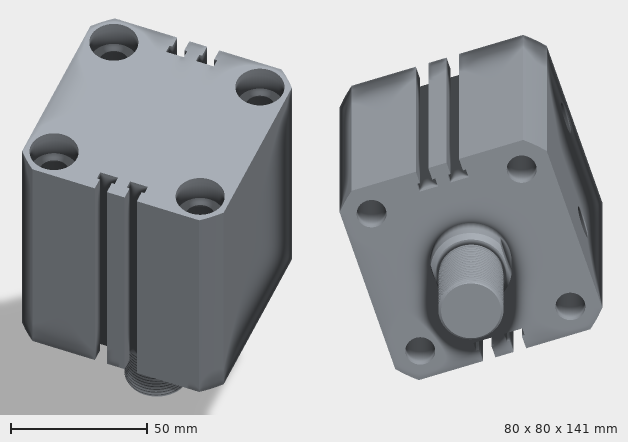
import cadquery as cq
WIDTH = 80.0
TOTAL_LENGTH = 141.0
ROD_OVERHANG = 46.0
HOUSING_BOTTOM = ROD_OVERHANG
HOUSING_HEIGHT = TOTAL_LENGTH - HOUSING_BOTTOM
CORNER_RADIUS = 51.9

BOLT_SPACING = 58.0
BOLT_HOLE_DIAMETER = 11.0
COUNTERBORE_DIAMETER = 18.0
COUNTERBORE_DEPTH = 11.0

SLOT_SPACING = 11.8
SLOT_MOUTH_WIDTH = 4.8
SLOT_FOOT_WIDTH = 7.0
SLOT_LIP = 4.8
SLOT_DEPTH = 8.0

PORT_MOUTH_DIAMETER = 11.8
PORT_FLOOR_DIAMETER = 11.0
PORT_DEPTH = 8.0
PASSAGE_DIAMETER = 4.1
PORT_OFFSET = 10.0
UPPER_PORT_DROP = 16.0
UPPER_PORT_HEIGHT = TOTAL_LENGTH - UPPER_PORT_DROP
LOWER_PORT_RISE = 28.0
LOWER_PORT_HEIGHT = HOUSING_BOTTOM + LOWER_PORT_RISE
UPPER_PASSAGE_DEPTH = 5.6

ROD_DIAMETER = 29.9
ROD_PAST_PORT = 14.1
ROD_TOP = LOWER_PORT_HEIGHT + ROD_PAST_PORT
COLLAR_LENGTH = 11.0
COLLAR_CHAMFER = 1.8
ACROSS_FLATS = 27.0
FLAT_SLOPE_GAP = 1.5

THREAD_DIAMETER = 24.0
THREAD_TURNS = 22
THREAD_DEPTH = 0.7
CREST_FRACTION = 0.3
ROOT_FRACTION = 0.1
GROOVE_OVERCUT = 0.1
NECK_LENGTH = 2.0
NECK_DIAMETER = 22.4
TIP_CHAMFER = 1.0
COLLAR_BOTTOM = HOUSING_BOTTOM - COLLAR_LENGTH
THREAD_TOP = COLLAR_BOTTOM - NECK_LENGTH
PITCH = THREAD_TOP / THREAD_TURNS


def make_blank():
    """Square block with its corners trimmed to a cylinder."""
    block = cq.Workplane("XY").rect(WIDTH, WIDTH).extrude(HOUSING_HEIGHT)
    round_bar = cq.Workplane("XY").circle(CORNER_RADIUS).extrude(HOUSING_HEIGHT)
    return block.intersect(round_bar).translate((0, 0, HOUSING_BOTTOM))


def make_slots():
    """Cutters for the T-slots, which run the whole height of both Y faces."""
    slots = cq.Workplane("XY").workplane(offset=HOUSING_BOTTOM)
    foot_height = SLOT_DEPTH - SLOT_LIP
    for side in (-1, 1):
        mouth_y = side * (WIDTH - SLOT_DEPTH) / 2
        foot_y = side * (WIDTH / 2 - SLOT_LIP - foot_height / 2)
        for x in (-SLOT_SPACING / 2, SLOT_SPACING / 2):
            slots = slots.moveTo(x, mouth_y).rect(SLOT_MOUTH_WIDTH, SLOT_DEPTH).extrude(HOUSING_HEIGHT)
            slots = slots.moveTo(x, foot_y).rect(SLOT_FOOT_WIDTH, foot_height).extrude(HOUSING_HEIGHT)
    return slots


def make_port(y, z, passage_end):
    """Cutter for one tapered port and the narrow passage that leads on from it."""
    face_x = -WIDTH / 2
    inward = cq.Vector(1, 0, 0)
    taper = cq.Solid.makeCone(
        PORT_MOUTH_DIAMETER / 2, PORT_FLOOR_DIAMETER / 2, PORT_DEPTH, cq.Vector(face_x, y, z), inward
    )
    passage = cq.Solid.makeCylinder(
        PASSAGE_DIAMETER / 2, passage_end - face_x, cq.Vector(face_x, y, z), inward
    )
    return cq.Workplane(taper).union(cq.Workplane(passage))


def make_housing():
    housing = make_blank().cut(make_slots())
    housing = (
        housing.faces(">Z")
        .workplane(origin=(0, 0, 0))
        .rect(BOLT_SPACING, BOLT_SPACING, forConstruction=True)
        .vertices()
        .cboreHole(BOLT_HOLE_DIAMETER, COUNTERBORE_DIAMETER, COUNTERBORE_DEPTH)
    )
    bore = (
        cq.Workplane("XY")
        .workplane(offset=HOUSING_BOTTOM)
        .circle(ROD_DIAMETER / 2)
        .extrude(ROD_TOP - HOUSING_BOTTOM)
    )
    upper_end = -WIDTH / 2 + PORT_DEPTH + UPPER_PASSAGE_DEPTH
    upper_port = make_port(PORT_OFFSET, UPPER_PORT_HEIGHT, upper_end)
    lower_end = 0
    lower_port = make_port(-PORT_OFFSET, LOWER_PORT_HEIGHT, lower_end)
    return housing.cut(bore).cut(upper_port).cut(lower_port)


def turn(profile):
    """Solid of revolution about Z from a list of (radius, z) points."""
    return cq.Workplane("XZ").polyline(profile).close().revolve(360, (0, 0, 0), (0, 1, 0))


def make_shank():
    """Plain shank with a chamfered lower edge and two wrench flats."""
    rod_r = ROD_DIAMETER / 2
    shank = turn(
        [
            (0, COLLAR_BOTTOM),
            (rod_r - COLLAR_CHAMFER, COLLAR_BOTTOM),
            (rod_r, COLLAR_BOTTOM + COLLAR_CHAMFER),
            (rod_r, ROD_TOP),
            (0, ROD_TOP),
        ]
    )
    for side in (-1, 1):
        shank = shank.cut(make_flat_cutter(side))
    return shank


def make_threaded_end():
    """Neck and chamfered end cylinder with the thread groove cut into it."""
    neck_r = NECK_DIAMETER / 2
    thread_r = THREAD_DIAMETER / 2
    blank = turn(
        [
            (0, 0),
            (thread_r - TIP_CHAMFER, 0),
            (thread_r, TIP_CHAMFER),
            (thread_r, THREAD_TOP),
            (neck_r, THREAD_TOP),
            (neck_r, COLLAR_BOTTOM),
            (0, COLLAR_BOTTOM),
        ]
    )
    return blank.cut(make_thread_groove())


def make_flat_cutter(side):
    """Cutter for one wrench flat, with a 45 degree run-out at its upper end."""
    flat_x = ACROSS_FLATS / 2
    outer_x = ROD_DIAMETER
    slope_top = HOUSING_BOTTOM - FLAT_SLOPE_GAP
    flat_top = slope_top - (ROD_DIAMETER / 2 - flat_x)
    outline = [
        (side * flat_x, COLLAR_BOTTOM),
        (side * flat_x, flat_top),
        (side * ROD_DIAMETER / 2, slope_top),
        (side * outer_x, slope_top),
        (side * outer_x, COLLAR_BOTTOM),
    ]
    return cq.Workplane("XZ").polyline(outline).close().extrude(ROD_DIAMETER / 2, both=True)


def make_thread_groove():
    """Helical V-groove with a narrow flat root, bounded by ruled faces between four helices."""
    root_r = THREAD_DIAMETER / 2 - THREAD_DEPTH
    outer_r = THREAD_DIAMETER / 2 + GROOVE_OVERCUT
    root_half = PITCH * ROOT_FRACTION / 2
    mouth_half = PITCH * (1 - CREST_FRACTION) / 2
    flank_slope = (mouth_half - root_half) / THREAD_DEPTH
    outer_half = mouth_half + GROOVE_OVERCUT * flank_slope
    corners = [
        (root_r, -root_half),
        (root_r, root_half),
        (outer_r, outer_half),
        (outer_r, -outer_half),
    ]
    overrun = PITCH
    length = THREAD_TOP + 2 * overrun
    helices = []
    for radius, z in corners:
        helix = cq.Wire.makeHelix(PITCH, length, radius).translate(cq.Vector(0, 0, z - overrun))
        helices.append(helix.Edges()[0])
    faces = [cq.Face.makeRuledSurface(helices[i - 1], helices[i]) for i in range(len(helices))]
    for end in (0, 1):
        outline = cq.Wire.makePolygon([helix.positionAt(end) for helix in helices], close=True)
        faces.append(cq.Face.makeFromWires(outline))
    return cq.Workplane(cq.Solid.makeSolid(cq.Shell.makeShell(faces)))


def make_rod():
    return make_shank().union(make_threaded_end())


housing = make_housing()
rod = make_rod()
result = cq.Compound.makeCompound([housing.solids().val(), rod.solids().val()])